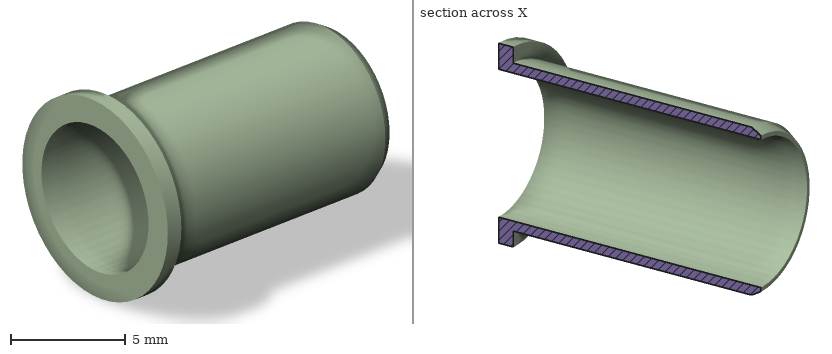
import cadquery as cq

length = 14.0
flange_diameter = 9.5
flange_thickness = 0.8
body_diameter = 8.0
bore_diameter = 7.0

chamfer_length = 0.52
chamfer_depth = 0.3

flange_radius = flange_diameter / 2
body_radius = body_diameter / 2
bore_radius = bore_diameter / 2

wall_section = (
    cq.Workplane("XY")
    .moveTo(bore_radius, 0)
    .lineTo(flange_radius, 0)
    .lineTo(flange_radius, flange_thickness)
    .lineTo(body_radius, flange_thickness)
    .lineTo(body_radius, length - chamfer_length)
    .lineTo(body_radius - chamfer_depth, length)
    .lineTo(bore_radius, length)
    .close()
)

result = wall_section.revolve(360, (0, 0, 0), (0, 1, 0))